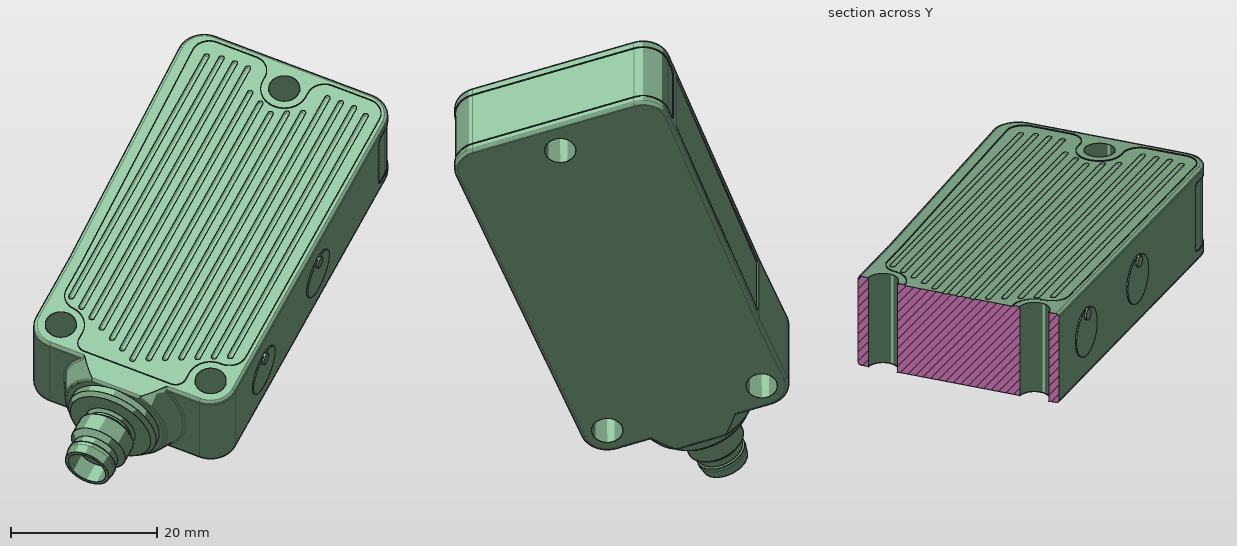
import cadquery as cq

HEIGHT = 13.6
TOP = HEIGHT / 2
OVERALL_LENGTH = 68.8
LENGTH = 56.55
HALF_WIDTH = 15.0
TAPER_START = 14.65
FLARE = 1.1
CORNER_RADIUS = 3.7
EDGE_RADIUS = 0.5

HOLE_DIAMETER = 4.3
FRONT_HOLES = [(side * (HALF_WIDTH - CORNER_RADIUS), CORNER_RADIUS) for side in (-1, 1)]
REAR_HOLE_MARGIN = 4.2
REAR_HOLE = (0, LENGTH - REAR_HOLE_MARGIN)
HOLES = FRONT_HOLES + [REAR_HOLE]

PANEL_DEPTH = 0.15
PANEL_MARGIN = 1.0
PANEL_REAR_MARGIN = 0.95
PANEL_LEFT_MARGIN = 1.9
PANEL_RADIUS = 2.5
PANEL_FRONT_RADIUS = 1.5
LOBE_RADIUS = 3.2

GROOVES_PER_SIDE = 6
GROOVE_PITCH = 2.0
GROOVE_HALF_WIDTH = 0.38
GROOVE_DEPTH = 0.1
GROOVE_STEP = GROOVE_PITCH / 2
GROOVE_FRONT = 2.3
GROOVE_REAR = 48.2
GROOVE_FAR_REAR = 53.9
GROOVE_OUTER_REAR = 53.3
GROOVES_BEHIND_HOLE = 2

RECESS_HEIGHT = 10.5
WINDOW_FRONT = 15.3
WINDOW_REAR = 49.6
WINDOW_DEPTH = 0.2
BAND_FRONT = 50.7
BAND_DEPTH = 0.15
BAND_RADIUS = 0.9

DISC_CENTRES = (12.8, 30.55)
DISC_DIAMETER = 7.1
DISC_THICKNESS = 0.2
STUD_DIAMETER = 1.65
STUD_RISE = 0.5
STUD_HEIGHT = 2.75

BOSS_RADIUS = 9.0
BOSS_TIP_RADIUS = 7.6
BOSS_LENGTH = 2.95
BOSS_FOOT_RADIUS = 0.35
BOSS_TIP_FILLET = 0.4

COLLAR_RADIUS = 6.6
COLLAR_END = 4.55
COLLAR_CHAMFER = 0.55
NECK_RADIUS = 3.27
NUT_RADIUS = 4.05
NUT_START = 5.9
NUT_END = 8.5
NUT_BACK_CHAMFER = 0.6
NUT_TIP_CHAMFER = 0.75
NECK_FLARE_RADIUS = 3.7
NECK_FLARE_LENGTH = 0.4
LIP_RADIUS = 3.5
LIP_START = 10.45
LIP_END = 11.0
LIP_CHAMFER = 0.2
CONNECTOR_END = OVERALL_LENGTH - LENGTH
BORE_RADIUS = 2.8
BORE_DEPTH = 2.9


ALL_X = (-2 * HALF_WIDTH, 2 * HALF_WIDTH)
NEAR = 0.35


def region(x_range, y_range):
    """Selector for edges whose centres lie within the given X and Y ranges, at any height."""
    (x_min, x_max), (y_min, y_max) = x_range, y_range
    return cq.selectors.BoxSelector((x_min, y_min, -HEIGHT), (x_max, y_max, HEIGHT))


def left_side_x(y):
    """X of the flared left side at a given Y."""
    return -HALF_WIDTH - FLARE * (y - TAPER_START) / (LENGTH - TAPER_START)


def outline(workplane, left, right, front, rear, left_rear):
    """Four-sided outline whose left side bends outwards at TAPER_START."""
    points = [(left, front), (right, front), (right, rear), (left_rear, rear), (left, TAPER_START)]
    return workplane.polyline(points).close()


def housing_block(inset=0):
    """Rounded housing, optionally shrunk inwards all round."""
    base = cq.Workplane("XY").workplane(offset=-TOP)
    left = inset - HALF_WIDTH
    block = outline(base, left, -left, inset, LENGTH - inset, left - FLARE).extrude(HEIGHT)
    front_corners = region(ALL_X, (inset - NEAR, inset + NEAR))
    rear_corners = region(ALL_X, (LENGTH - inset - NEAR, LENGTH - inset + NEAR))
    return block.edges("|Z").edges(front_corners + rear_corners).fillet(CORNER_RADIUS - inset)


def panel():
    """Sunken area of the top face, leaving lands around the three holes."""
    base = cq.Workplane("XY").workplane(offset=TOP - PANEL_DEPTH)
    left = PANEL_LEFT_MARGIN - HALF_WIDTH
    right = HALF_WIDTH - PANEL_MARGIN
    rear = LENGTH - PANEL_REAR_MARGIN
    plate = outline(base, left, right, PANEL_MARGIN, rear, left - FLARE).extrude(PANEL_DEPTH)

    rear_x, rear_y = REAR_HOLE
    square_centres = [(x, y - LOBE_RADIUS) for x, y in FRONT_HOLES]
    square_centres.append((rear_x, rear_y + LOBE_RADIUS))
    discs = base.pushPoints(HOLES).circle(LOBE_RADIUS).extrude(PANEL_DEPTH)
    squares = base.pushPoints(square_centres).rect(2 * LOBE_RADIUS, 2 * LOBE_RADIUS)
    lands = discs.union(squares.extrude(PANEL_DEPTH))
    plate = plate.cut(lands)

    hole_y = FRONT_HOLES[0][1]
    beside_holes = (hole_y + NEAR, hole_y + LOBE_RADIUS)
    rear_corners = region(ALL_X, (rear - NEAR, rear + NEAR))
    left_corner = region((left - NEAR, left + NEAR), beside_holes)
    right_corner = region((right - NEAR, right + NEAR), beside_holes)
    front_corners = region(ALL_X, (PANEL_MARGIN - NEAR, PANEL_MARGIN + NEAR))
    plate = plate.edges("|Z").edges(rear_corners + left_corner + right_corner).fillet(PANEL_RADIUS)
    return plate.edges("|Z").edges(front_corners).fillet(PANEL_FRONT_RADIUS)


def groove(x, front, rear):
    """Shallow round-bottomed groove with ball-shaped ends."""
    radius = (GROOVE_HALF_WIDTH**2 + GROOVE_DEPTH**2) / (2 * GROOVE_DEPTH)
    axis_z = TOP - PANEL_DEPTH - GROOVE_DEPTH + radius
    first = front + GROOVE_HALF_WIDTH
    last = rear - GROOVE_HALF_WIDTH
    cutter = cq.Workplane("XZ", origin=(x, first, axis_z)).circle(radius).extrude(first - last)
    for y in (first, last):
        cutter = cutter.union(cq.Workplane("XY", origin=(x, y, axis_z)).sphere(radius))
    return cutter


def groove_rear(rank):
    """Y of the rear end of a groove, counted outwards from the middle one."""
    if rank <= GROOVES_BEHIND_HOLE:
        return GROOVE_REAR + rank * GROOVE_STEP
    if rank == GROOVES_PER_SIDE:
        return GROOVE_OUTER_REAR
    return GROOVE_FAR_REAR


def window():
    """Wedge-shaped recess in the flared part of the left side."""
    front_x = left_side_x(WINDOW_FRONT)
    rear_x = left_side_x(WINDOW_REAR)
    outside_x = left_side_x(LENGTH)
    return (
        cq.Workplane("XY").workplane(offset=-RECESS_HEIGHT / 2)
        .moveTo(front_x + WINDOW_DEPTH, WINDOW_FRONT)
        .lineTo(rear_x, WINDOW_REAR)
        .lineTo(outside_x, WINDOW_REAR)
        .lineTo(outside_x, WINDOW_FRONT)
        .close().extrude(RECESS_HEIGHT)
    )


def band():
    """Shallow recess wrapped round the rear end, with rounded ends on both sides."""
    length = LENGTH - BAND_FRONT
    block = (
        cq.Workplane("XY", origin=(0, BAND_FRONT + length / 2, 0))
        .box(3 * HALF_WIDTH, length, RECESS_HEIGHT)
        .edges("|X and <Y").fillet(BAND_RADIUS)
    )
    return block.cut(housing_block(BAND_DEPTH))


def disc(y):
    """Indicator disc with a small stud near its upper edge."""
    base = cq.Workplane("YZ", origin=(HALF_WIDTH, y, 0))
    plate = base.circle(DISC_DIAMETER / 2).extrude(DISC_THICKNESS)
    stud = base.center(0, STUD_HEIGHT).circle(STUD_DIAMETER / 2).extrude(STUD_RISE)
    return plate.union(stud)


def turned(profile):
    """Solid of revolution about the connector axis, from an outline to one side of it."""
    return profile.close().revolve(360, (0, 0, 0), (0, 1, 0))


def boss():
    """Cone carrying the connector, cut flat level with the top and bottom faces."""
    slope = (BOSS_RADIUS - BOSS_TIP_RADIUS) / BOSS_LENGTH
    root_radius = BOSS_RADIUS + slope * EDGE_RADIUS
    cone = turned(
        cq.Workplane("XY")
        .polyline([
            (0, EDGE_RADIUS),
            (root_radius, EDGE_RADIUS),
            (BOSS_TIP_RADIUS, -BOSS_LENGTH),
            (0, -BOSS_LENGTH),
        ])
    )
    cone = cone.intersect(cq.Workplane("XY").box(3 * root_radius, 3 * root_radius, HEIGHT))
    return cone.faces("<Y").edges().fillet(BOSS_TIP_FILLET)


def connector():
    """Collar, neck, nut and lipped socket, bored from the tip."""
    bore_end = CONNECTOR_END - BORE_DEPTH
    points = [
        (0, 0),
        (COLLAR_RADIUS, 0),
        (COLLAR_RADIUS, COLLAR_END - COLLAR_CHAMFER),
        (COLLAR_RADIUS - COLLAR_CHAMFER, COLLAR_END),
        (NECK_FLARE_RADIUS, COLLAR_END),
        (NECK_RADIUS, COLLAR_END + NECK_FLARE_LENGTH),
        (NECK_RADIUS, NUT_START - NUT_BACK_CHAMFER),
        (NUT_RADIUS, NUT_START),
        (NUT_RADIUS, NUT_END),
        (NECK_RADIUS, NUT_END + NUT_TIP_CHAMFER),
        (NECK_RADIUS, LIP_START - LIP_CHAMFER),
        (LIP_RADIUS, LIP_START),
        (LIP_RADIUS, LIP_END),
        (NECK_RADIUS, CONNECTOR_END),
        (BORE_RADIUS, CONNECTOR_END),
        (BORE_RADIUS, bore_end),
        (0, bore_end),
    ]
    return turned(cq.Workplane("XY").polyline([(radius, -depth) for radius, depth in points]))


body = housing_block().faces("<Z or >Z").edges().fillet(EDGE_RADIUS)
body = body.cut(window()).cut(band())
body = body.union(boss())
left_foot = cq.selectors.NearestToPointSelector((-BOSS_RADIUS, 0, 0))
right_foot = cq.selectors.NearestToPointSelector((BOSS_RADIUS, 0, 0))
body = body.edges(left_foot + right_foot).fillet(BOSS_FOOT_RADIUS)
body = body.union(connector())
body = body.cut(panel())

for index in range(-GROOVES_PER_SIDE, GROOVES_PER_SIDE + 1):
    rank = abs(index)
    front = GROOVE_FRONT + rank * GROOVE_STEP
    body = body.cut(groove(index * GROOVE_PITCH, front, groove_rear(rank)))

holes = cq.Workplane("XY").workplane(offset=-TOP).pushPoints(HOLES)
body = body.cut(holes.circle(HOLE_DIAMETER / 2).extrude(HEIGHT))

for disc_y in DISC_CENTRES:
    body = body.union(disc(disc_y))

result = body